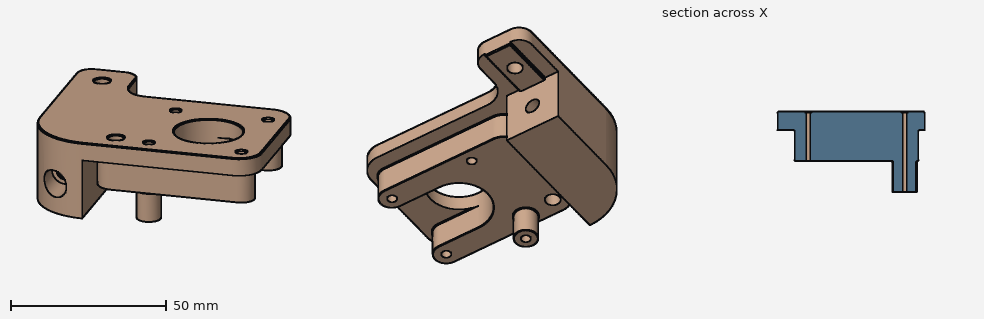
import cadquery as cq

LENGTH = 78.0
HEIGHT = 26.0

EDGE_CHAMFER = 0.4
UNDERSIDE_CHAMFER = 0.2
ROOT_CHAMFER = 0.3

PLATE_THICKNESS = 6.0
PLATE_BOTTOM = HEIGHT - PLATE_THICKNESS
BODY_WIDTH = 47.5
ARM_WIDTH = 20.0
ARM_REACH = 20.0
TOTAL_WIDTH = BODY_WIDTH + ARM_REACH
MAIN_RADIUS = 20.0
END_RADIUS = 7.5
ARM_RADIUS = 5.0
INNER_RADIUS = 7.5

MOTOR_X = 56.0
MOTOR_Y = 22.0
MOTOR_BORE = 22.25
SCREW_PITCH = 31.0
SCREW_HOLE = 3.2
SCREW_LEFT = MOTOR_X - SCREW_PITCH / 2
SCREW_FRONT = MOTOR_Y - SCREW_PITCH / 2

MOUNT_HOLE = 5.1
ARM_HOLE_X = ARM_WIDTH / 2
ARM_HOLE_Y = TOTAL_WIDTH - ARM_REACH / 2
FRONT_HOLE_X = 29.0
FRONT_HOLE_Y = 8.0

SPACER_BOTTOM = 10.0
SPACER_LEFT = 23.0
SPACER_RIGHT = 76.0
SPACER_FRONT = 2.0
SPACER_BACK = 2 * MOTOR_Y - SPACER_FRONT
SPACER_LEFT_RADIUS = FRONT_HOLE_X - SPACER_LEFT

PIN_DIAMETER = 8.0

ARM_PAD_WIDTH = ARM_WIDTH - 2 * ARM_RADIUS
ARM_PAD_THICKNESS = 1.0

CLAMP_X = ARM_WIDTH / 2
CLAMP_Z = 10.0
CLAMP_HOLE = 5.2
CLAMP_COUNTERBORE = 9.0
CLAMP_SEAT_Y = 15.0


def vertical_fillet(body, x, y, radius):
    """Round the vertical edge of body that passes through (x, y)."""
    reach = radius / 10
    probe = cq.selectors.BoxSelector(
        (x - reach, y - reach, 0), (x + reach, y + reach, HEIGHT)
    )
    return body.edges("|Z").edges(probe).fillet(radius)


def make_plate():
    body = cq.Workplane("XY").box(LENGTH, BODY_WIDTH, PLATE_THICKNESS, centered=False)
    arm = cq.Workplane("XY").box(ARM_WIDTH, TOTAL_WIDTH, PLATE_THICKNESS, centered=False)
    plate = body.union(arm).translate((0, 0, PLATE_BOTTOM))
    corners = [
        (0, 0, MAIN_RADIUS),
        (LENGTH, 0, END_RADIUS),
        (LENGTH, BODY_WIDTH, END_RADIUS),
        (ARM_WIDTH, BODY_WIDTH, INNER_RADIUS),
        (ARM_WIDTH, TOTAL_WIDTH, ARM_RADIUS),
        (0, TOTAL_WIDTH, ARM_RADIUS),
    ]
    for x, y, radius in corners:
        plate = vertical_fillet(plate, x, y, radius)
    return plate.faces(">Z").chamfer(EDGE_CHAMFER)


def make_block():
    block = cq.Workplane("XY").box(ARM_WIDTH, BODY_WIDTH, PLATE_BOTTOM, centered=False)
    square = cq.Workplane("XY").rect(MAIN_RADIUS, MAIN_RADIUS, centered=False).extrude(PLATE_BOTTOM)
    disc = cq.Workplane("XY").center(MAIN_RADIUS, MAIN_RADIUS).circle(MAIN_RADIUS)
    return block.cut(square.cut(disc.extrude(PLATE_BOTTOM)))


def root_flare(post):
    """45 degree collar around the top of a post, where it meets the face above."""
    top_outline = post.faces(">Z").wires().toPending()
    collar = top_outline.extrude(ROOT_CHAMFER, combine=False, taper=-45)
    return collar.translate((0, 0, -ROOT_CHAMFER))


def make_spacer():
    slot_radius = MOTOR_BORE / 2
    slot_front = MOTOR_Y - slot_radius
    slot_back = MOTOR_Y + slot_radius
    prong_radius = (slot_front - SPACER_FRONT) / 2
    prong_end = SPACER_RIGHT - prong_radius
    outline = (
        cq.Workplane("XY")
        .workplane(offset=SPACER_BOTTOM)
        .moveTo(SPACER_LEFT, SPACER_FRONT)
        .lineTo(prong_end, SPACER_FRONT)
        .threePointArc((SPACER_RIGHT, SPACER_FRONT + prong_radius), (prong_end, slot_front))
        .lineTo(MOTOR_X, slot_front)
        .threePointArc((MOTOR_X - slot_radius, MOTOR_Y), (MOTOR_X, slot_back))
        .lineTo(prong_end, slot_back)
        .threePointArc((SPACER_RIGHT, SPACER_BACK - prong_radius), (prong_end, SPACER_BACK))
        .lineTo(SPACER_LEFT, SPACER_BACK)
        .close()
    )
    spacer = outline.extrude(PLATE_BOTTOM - SPACER_BOTTOM)
    spacer = spacer.edges("|Z and <X").fillet(SPACER_LEFT_RADIUS)
    spacer = spacer.union(root_flare(spacer))
    return spacer.faces("<Z").chamfer(UNDERSIDE_CHAMFER)


def make_pin():
    outline = cq.Workplane("XY").center(SCREW_LEFT, SCREW_FRONT).circle(PIN_DIAMETER / 2)
    pin = outline.extrude(SPACER_BOTTOM)
    pin = pin.union(root_flare(pin))
    return pin.faces("<Z").chamfer(UNDERSIDE_CHAMFER)


def make_arm_pad():
    pad = cq.Workplane("XY").box(
        ARM_PAD_WIDTH, ARM_REACH, ARM_PAD_THICKNESS, centered=(True, True, False)
    )
    pad = pad.edges("<Z and (not <Y)").chamfer(EDGE_CHAMFER)
    return pad.translate((ARM_HOLE_X, ARM_HOLE_Y, PLATE_BOTTOM - ARM_PAD_THICKNESS))


def hole_cutter(x, y, diameter):
    """Full-height drill with a chamfered mouth in the top face."""
    drill = cq.Workplane("XY").center(x, y).circle(diameter / 2).extrude(HEIGHT)
    mouth = (
        cq.Workplane("XY")
        .workplane(offset=HEIGHT - EDGE_CHAMFER)
        .center(x, y)
        .circle(diameter / 2)
        .workplane(offset=EDGE_CHAMFER)
        .circle(diameter / 2 + EDGE_CHAMFER)
        .loft()
    )
    return drill.union(mouth)


def make_clamp_cutter():
    hole_radius = CLAMP_HOLE / 2
    mouth_radius = hole_radius + EDGE_CHAMFER
    bore_radius = CLAMP_COUNTERBORE / 2
    profile = [
        (0, 0),
        (bore_radius, 0),
        (bore_radius, CLAMP_SEAT_Y),
        (mouth_radius, CLAMP_SEAT_Y),
        (hole_radius, CLAMP_SEAT_Y + EDGE_CHAMFER),
        (hole_radius, BODY_WIDTH),
        (0, BODY_WIDTH),
    ]
    cutter = cq.Workplane("XY").polyline(profile).close().revolve(360, (0, 0), (0, 1))
    return cutter.translate((CLAMP_X, 0, CLAMP_Z))


result = make_plate()
for feature in (make_block(), make_spacer(), make_arm_pad(), make_pin()):
    result = result.union(feature)

holes = [
    (MOTOR_X, MOTOR_Y, MOTOR_BORE),
    (ARM_HOLE_X, ARM_HOLE_Y, MOUNT_HOLE),
    (FRONT_HOLE_X, FRONT_HOLE_Y, MOUNT_HOLE),
]
for column in range(2):
    for row in range(2):
        holes.append((SCREW_LEFT + column * SCREW_PITCH, SCREW_FRONT + row * SCREW_PITCH, SCREW_HOLE))
for x, y, diameter in holes:
    result = result.cut(hole_cutter(x, y, diameter))

result = result.cut(make_clamp_cutter())